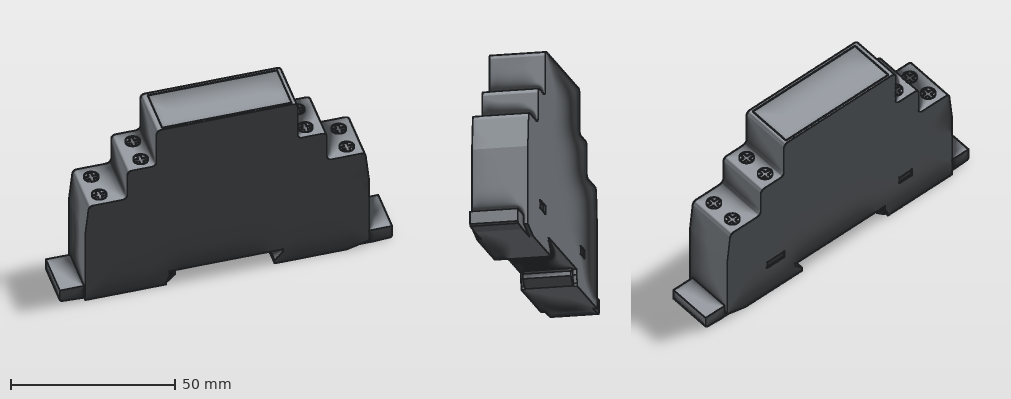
import cadquery as cq
import math

WIDTH = 17.5
HEIGHT = 62.99
BODY_LENGTH = 90.0
FOOT_LENGTH = 105.38

TOP_HALF = 22.4
MIDDLE_HALF = 31.65
MIDDLE_Z = 48.8
LOWER_Z = 37.7
TAPER_Z = 26.6
TAPER_ANGLE = 6.0
OUTER_RADIUS = 1.6
UPPER_INNER_RADIUS = 1.45
LOWER_INNER_RADIUS = 1.6
CORNER_CUT_LENGTH = 7.1
CORNER_CUT_HEIGHT = 2.0

RAIL_TOP_Z = 5.1
HOOK_ROOT_Y = 17.75
HOOK_ROOT_Z = 4.1
HOOK_TIP_Y = 15.05
HOOK_TIP_Z = 1.3
CLIP_WALL_Y = -18.3
CLIP_WALL_Z = 3.3
CLIP_WALL_FOOT_Y = -19.3
CLIP_WALL_FOOT_Z = 0.9

SLIDER_WIDTH = 15.0
FOOT_HEIGHT = 4.8
FOOT_TIP_Z = 0.3
FOOT_CHAMFER = 0.6
FOOT_SLOPE_START_Y = 46.5
FOOT_ROOT_Y = 35.0
CLIP_NECK_Y = -17.0
CLIP_NECK_Z = 4.0
CLIP_TIP_Y = -16.0
CLIP_TIP_Z = 2.5
CLIP_FOOT_Y = -18.65
CLIP_ROOT_Y = -25.0

LABEL_WIDTH = 15.6
LABEL_LENGTH = 41.0
LABEL_DEPTH = 0.3
LABEL_OFFSET_Y = 0.2

POCKET_BOTTOM_Z = 11.4
POCKET_HEIGHT = 2.6
POCKET_DEPTH = 0.5
POCKET_SPANS = [(22.0, 29.1), (-29.1, -23.9)]

SCREW_RADIUS = 2.3
SCREW_X = 4.3
SCREW_LOWER_Y = 39.24
SCREW_MIDDLE_Y = 26.1
SCREW_RECESS = 0.25
CROSS_WIDTH = 1.2
CROSS_LENGTH = 4.3
CROSS_DEPTH = 0.3

EDGE_PICK_MARGIN = 0.1


def extrude_profile(points, width):
    """Extrude a closed (Y, Z) outline symmetrically about X = 0."""
    return cq.Workplane("YZ").polyline(points).close().extrude(width / 2, both=True)


def round_edges(body, y, z, radius):
    """Round the pair of full-width edges at (+Y, Z) and (-Y, Z)."""
    for side in (1, -1):
        box = cq.selectors.BoxSelector(
            (-WIDTH, side * y - EDGE_PICK_MARGIN, z - EDGE_PICK_MARGIN),
            (WIDTH, side * y + EDGE_PICK_MARGIN, z + EDGE_PICK_MARGIN),
        )
        body = body.edges(box).edges("|X").fillet(radius)
    return body


def make_housing():
    body_half = BODY_LENGTH / 2
    lower_half = body_half - (LOWER_Z - TAPER_Z) * math.tan(math.radians(TAPER_ANGLE))
    outline = [
        (TOP_HALF, HEIGHT),
        (TOP_HALF, MIDDLE_Z),
        (MIDDLE_HALF, MIDDLE_Z),
        (MIDDLE_HALF, LOWER_Z),
        (lower_half, LOWER_Z),
        (body_half, TAPER_Z),
        (body_half, CORNER_CUT_HEIGHT),
        (body_half - CORNER_CUT_LENGTH, 0),
        (HOOK_TIP_Y, 0),
        (HOOK_TIP_Y, HOOK_TIP_Z),
        (HOOK_ROOT_Y, HOOK_ROOT_Z),
        (HOOK_ROOT_Y, RAIL_TOP_Z),
        (CLIP_WALL_Y, RAIL_TOP_Z),
        (CLIP_WALL_Y, CLIP_WALL_Z),
        (CLIP_WALL_FOOT_Y, CLIP_WALL_FOOT_Z),
        (CLIP_WALL_FOOT_Y, 0),
        (-body_half, 0),
        (-body_half, TAPER_Z),
        (-lower_half, LOWER_Z),
        (-MIDDLE_HALF, LOWER_Z),
        (-MIDDLE_HALF, MIDDLE_Z),
        (-TOP_HALF, MIDDLE_Z),
        (-TOP_HALF, HEIGHT),
    ]
    housing = extrude_profile(outline, WIDTH)
    housing = round_edges(housing, TOP_HALF, HEIGHT, OUTER_RADIUS)
    housing = round_edges(housing, MIDDLE_HALF, MIDDLE_Z, OUTER_RADIUS)
    housing = round_edges(housing, lower_half, LOWER_Z, OUTER_RADIUS)
    housing = round_edges(housing, TOP_HALF, MIDDLE_Z, UPPER_INNER_RADIUS)
    return round_edges(housing, MIDDLE_HALF, LOWER_Z, LOWER_INNER_RADIUS)


def make_foot(side):
    """Foot projecting past the housing end; side is +1 or -1 along Y."""
    tip = FOOT_LENGTH / 2
    outline = [
        (side * FOOT_ROOT_Y, 0),
        (side * FOOT_SLOPE_START_Y, 0),
        (side * (tip - FOOT_CHAMFER), FOOT_TIP_Z),
        (side * tip, FOOT_TIP_Z + FOOT_CHAMFER),
        (side * tip, FOOT_HEIGHT),
        (side * FOOT_ROOT_Y, FOOT_HEIGHT),
    ]
    return extrude_profile(outline, SLIDER_WIDTH)


def make_clip():
    """Spring clip reaching under the rail from the -Y side of the recess."""
    outline = [
        (CLIP_ROOT_Y, 0),
        (CLIP_FOOT_Y, 0),
        (CLIP_TIP_Y, CLIP_TIP_Z),
        (CLIP_TIP_Y, CLIP_NECK_Z),
        (CLIP_NECK_Y, CLIP_NECK_Z),
        (CLIP_NECK_Y, RAIL_TOP_Z),
        (CLIP_ROOT_Y, RAIL_TOP_Z),
    ]
    return extrude_profile(outline, SLIDER_WIDTH)


def make_label_recess():
    recess = cq.Workplane("XY").box(LABEL_WIDTH, LABEL_LENGTH, LABEL_DEPTH, (True, True, False))
    return recess.translate((0, LABEL_OFFSET_Y, HEIGHT - LABEL_DEPTH))


def make_side_pocket(y_start, y_end):
    pocket = cq.Workplane("XY").box(POCKET_DEPTH, y_end - y_start, POCKET_HEIGHT, centered=False)
    return pocket.translate((-WIDTH / 2, y_start, POCKET_BOTTOM_Z))


def make_screw_recess(x, y, z):
    """Sunk round screw head in the step at height z, with a cross slot cut into the head."""
    head = cq.Workplane("XY").workplane(offset=z - SCREW_RECESS).center(x, y)
    recess = head.circle(SCREW_RADIUS).extrude(SCREW_RECESS)
    slot_x = head.rect(CROSS_LENGTH, CROSS_WIDTH).extrude(-CROSS_DEPTH)
    slot_y = head.rect(CROSS_WIDTH, CROSS_LENGTH).extrude(-CROSS_DEPTH)
    return recess.union(slot_x).union(slot_y)


def make_screws():
    """All eight screw recesses: two per step on each end of the housing."""
    screws = cq.Workplane("XY")
    for y, z in ((SCREW_LOWER_Y, LOWER_Z), (SCREW_MIDDLE_Y, MIDDLE_Z)):
        for x_side in (1, -1):
            for y_side in (1, -1):
                screws = screws.add(make_screw_recess(x_side * SCREW_X, y_side * y, z))
    return screws.combine()


part = make_housing()
for end in (1, -1):
    part = part.union(make_foot(end))
part = part.union(make_clip())
part = part.cut(make_label_recess())
for pocket_start, pocket_end in POCKET_SPANS:
    part = part.cut(make_side_pocket(pocket_start, pocket_end))
part = part.cut(make_screws())

result = part